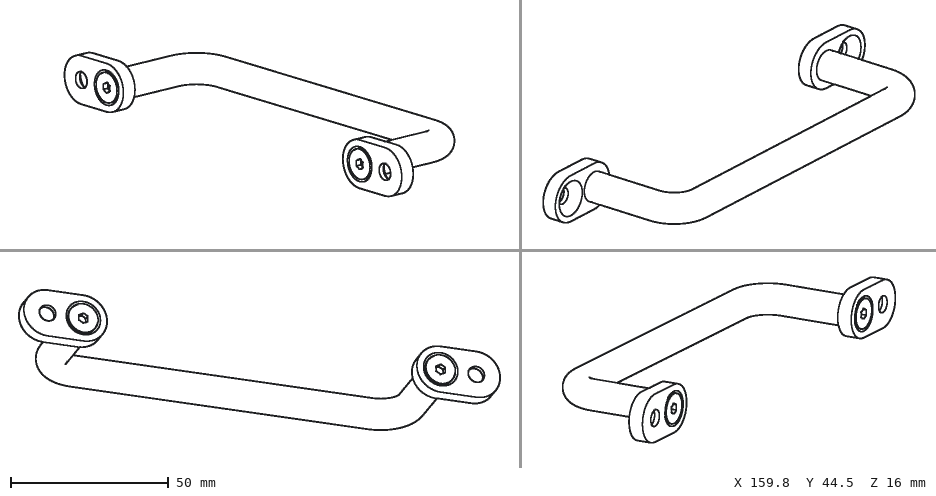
import cadquery as cq
import math

overall_length = 159.8
overall_height = 44.5

plate_width = 16.0
plate_thickness = 5.0
hole_spacing = 12.0
mounting_hole_diameter = 5.5
mounting_countersink_depth = 3.2
mounting_hole_radius = mounting_hole_diameter / 2
plate_end_radius = plate_width / 2
mounting_hole_x = overall_length / 2 - plate_end_radius
leg_x = mounting_hole_x - hole_spacing

bar_diameter = 10.0
bend_radius = 10.0
bar_radius = bar_diameter / 2
crossbar_y = overall_height - bar_radius

countersink_diameter = 11.5
head_diameter = 9.9
shank_diameter = 5.0
screw_length = 16.0
socket_width = 3.0
socket_depth = 1.9
socket_tip_depth = 1.0
countersink_radius = countersink_diameter / 2
head_radius = head_diameter / 2
shank_radius = shank_diameter / 2
rim_height = countersink_radius - head_radius
cone_depth = countersink_radius - shank_radius
socket_corner_radius = socket_width / 2 / math.cos(math.pi / 6)


def cylinder(radius, x, start_y, end_y):
    """Round body running along +Y between two heights."""
    return cq.Workplane(cq.Solid.makeCylinder(
        radius, end_y - start_y, cq.Vector(x, start_y, 0), cq.Vector(0, 1, 0)))


def make_handle():
    """Bar with two bends and a blind screw hole in the end of each leg."""
    bend_start_y = crossbar_y - bend_radius
    crossbar_end_x = leg_x - bend_radius
    bend_mid = bend_radius * 0.5**0.5
    path = (
        cq.Workplane("XY")
        .moveTo(-leg_x, plate_thickness)
        .lineTo(-leg_x, bend_start_y)
        .threePointArc((-crossbar_end_x - bend_mid, bend_start_y + bend_mid), (-crossbar_end_x, crossbar_y))
        .lineTo(crossbar_end_x, crossbar_y)
        .threePointArc((crossbar_end_x + bend_mid, bend_start_y + bend_mid), (leg_x, bend_start_y))
        .lineTo(leg_x, plate_thickness)
    )
    start_plane = cq.Plane(origin=(-leg_x, plate_thickness, 0), xDir=(1, 0, 0), normal=(0, 1, 0))
    handle = cq.Workplane(start_plane).circle(bar_radius).sweep(path)
    for side in (-1, 1):
        handle = handle.cut(cylinder(shank_radius, side * leg_x, plate_thickness, screw_length))
    return handle


def make_plate(side):
    """Rounded plate with a mounting hole, countersunk on the handle side, and a countersunk screw hole."""
    plate_center_x = side * (leg_x + mounting_hole_x) / 2
    plate = (
        cq.Workplane("XZ")
        .center(plate_center_x, 0)
        .slot2D(hole_spacing + plate_width, plate_width)
        .extrude(-plate_thickness)
    )
    mounting_hole = cylinder(mounting_hole_radius, side * mounting_hole_x, 0, plate_thickness)
    screw_hole = cylinder(shank_radius, side * leg_x, 0, plate_thickness)
    countersink = cq.Solid.makeCone(
        countersink_radius, shank_radius, cone_depth, cq.Vector(side * leg_x, 0, 0), cq.Vector(0, 1, 0))
    mounting_countersink = cq.Solid.makeCone(
        mounting_hole_radius,
        mounting_hole_radius + mounting_countersink_depth,
        mounting_countersink_depth,
        cq.Vector(side * mounting_hole_x, plate_thickness - mounting_countersink_depth, 0),
        cq.Vector(0, 1, 0),
    )
    return (
        plate.cut(mounting_hole)
        .cut(cq.Workplane(mounting_countersink))
        .cut(screw_hole)
        .cut(cq.Workplane(countersink))
    )


def make_screw(side):
    """Countersunk screw with a cylindrical head rim and a hexagon socket ending in a cone."""
    x = side * leg_x
    screw = (
        cq.Workplane("XY")
        .polyline([
            (0, 0),
            (head_radius, 0),
            (head_radius, rim_height),
            (shank_radius, cone_depth),
            (shank_radius, screw_length),
            (0, screw_length),
        ])
        .close()
        .revolve(360, (0, 0), (0, 1))
        .translate((x, 0, 0))
    )
    socket = (
        cq.Workplane("XZ")
        .transformed(rotate=(0, 0, 90))
        .polygon(6, 2 * socket_corner_radius)
        .extrude(-socket_depth)
        .translate((x, 0, 0))
    )
    socket_tip = cq.Solid.makeCone(
        socket_width / 2, 0, socket_tip_depth, cq.Vector(x, socket_depth, 0), cq.Vector(0, 1, 0))
    return screw.cut(socket).cut(cq.Workplane(socket_tip))


handle = make_handle()
plates = [make_plate(side) for side in (-1, 1)]
screws = [make_screw(side) for side in (-1, 1)]

result = cq.Compound.makeCompound([handle.val(), *[body.val() for body in plates + screws]])